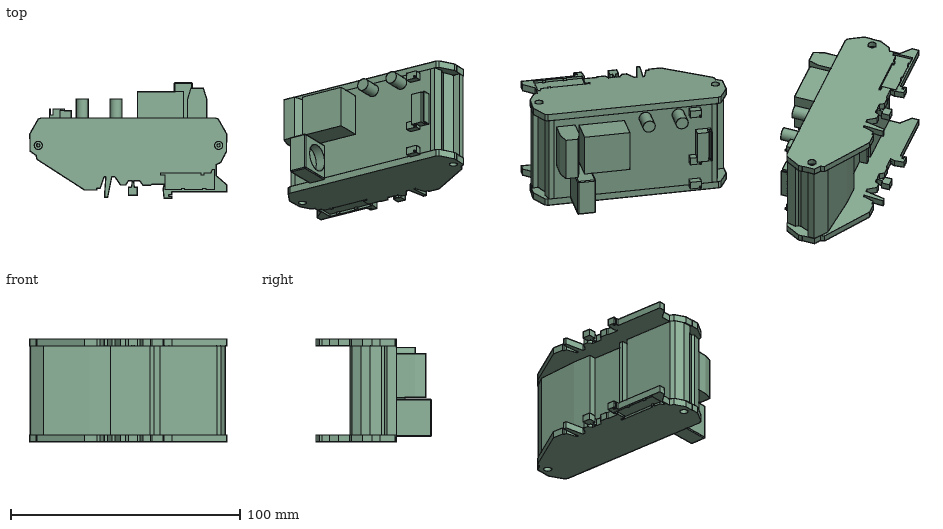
import cadquery as cq


total_width = 45.0
plate_thickness = 3.1
inner_half = total_width / 2 - plate_thickness

plate_left = -43.15
plate_right = 43.0
screw_x = 39.35
screw_y = -12.05
screw_head_diameter = 3.5
screw_head_depth = 2.6
screw_diameter = 1.4
pocket_depth = 1.0

plate_outline = [
    (-38.15, 0), (-39.4, -0.6), (plate_left, -7.15), (plate_left, -8.9), (-43.1, -9.1), (-43.1, -14.55),
    (-40.4, -16.4), (-40.0, -18.2), (-19.1, -31.6), (-13.8, -31.6), (-13.8, -30.8),
    (-12.3, -30.8),
    (-10.6, -25.75), (-9.9, -25.75), (-10.4, -32.9), (-10.4, -34.8), (-9.0, -34.8), (-7.2, -25.75),
    (-5.9, -25.75),
    (-3.45, -29.45), (-1.2, -29.45), (0, -27.6), (1.6, -27.6), (1.3, -30.3), (0, -30.3),
    (0, -33.9), (3.9, -33.9), (3.9, -30.3), (2.6, -30.3), (2.3, -27.6), (5.0, -27.6),
    (6.3, -29.5), (9.7, -29.5), (10.25, -29.0), (15.7, -29.0), (15.1, -30.9), (15.5, -35.1),
    (18.95, -35.1), (18.95, -34.2), (17.65, -34.2), (17.65, -33.5), (18.95, -33.5), (18.95, -32.4),
    (plate_right, -32.4), (plate_right, -29.3), (38.3, -25.2), (38.3, -20.5),
    (40.2, -19.6), (42.8, -14.8), (42.8, -10.7), (plate_right, -10.7),
    (plate_right, -7.15), (39.3, -0.6), (38.0, 0),
]

pocket_top = -24.1
pocket_bottom = -31.35
pocket_outline = [
    (13.95, pocket_top), (13.95, -24.9), (16.0, -24.9), (16.0, pocket_bottom),
    (23.1, pocket_bottom), (23.1, -30.8), (24.55, -30.8), (24.55, pocket_bottom),
    (32.4, pocket_bottom), (32.4, -30.8), (33.8, -30.8), (33.8, pocket_bottom),
    (37.6, pocket_bottom), (37.6, -22.6), (36.6, -22.6), (36.0, pocket_top),
    (32.9, pocket_top), (32.9, -24.9), (31.6, -24.9), (31.6, pocket_top),
]

tray_floor = -20.3
tray_channel_floor = -16.9
tray_outline = [
    (-37.5, 0), (-38.5, -4.1), (-37.7, -5.2), (-37.7, -6.5), (-39.9, -11.45), (-42.9, -11.45), (-42.9, -14.4),
    (-41.9, -15.3), (-37.1, -18.7), (-16.9, tray_floor), (-7.8, tray_floor),
    (-7.8, tray_channel_floor), (9.3, tray_channel_floor), (9.3, tray_floor), (11.1, tray_floor),
    (11.1, tray_channel_floor), (13.7, tray_channel_floor), (13.7, tray_floor),
    (38.6, tray_floor), (40.5, -19.4), (42.3, -15.5), (42.3, -11.45), (39.9, -11.45),
    (37.7, -6.5), (37.7, -5.2), (38.5, -4.1), (37.5, 0),
]

board_length = 70.6
board_thickness = 1.6

post_diameter = 5.4
post_height = 8.3
post_z = 16.0
post_positions = [-20.15, -5.4]

switch_left = -34.5
switch_right = -27.9
switch_height = 3.9
switch_z_min = -6.55
switch_z_max = 7.7
slot_left = -33.9
slot_right = -33.0
slot_floor = 1.3

chip_left = -29.9
chip_right = -24.9
chip_height = 3.1
chip_width = 3.3
chip_z_min_positions = [-19.9, -7.9, 15.4]
dot_diameter = 0.8
dot_height = 0.7
dot_inset = 0.5

relay_left = 3.9
relay_right = 24.1
relay_height = 11.4
relay_z_min = -2.5
relay_z_max = 15.8

terminal_left = 25.8
terminal_right = 34.2
terminal_top_left = 27.3
terminal_top_right = 32.7
terminal_height = 12.9
terminal_shoulder = 8.3
terminal_z_min = -3.0
terminal_z_max = 16.0

socket_left = 19.9
socket_right = 28.0
socket_height = 15.4
socket_z_min = -20.15
socket_z_max = -3.9
socket_chamfer = 0.4
socket_bore_diameter = 11.9
socket_bore_y = 6.0
socket_bore_depth = 4.3


def block(x_min, x_max, y_min, y_max, z_min, z_max):
    """Rectangular block between the given limits."""
    size = (x_max - x_min, y_max - y_min, z_max - z_min)
    return cq.Workplane("XY").box(*size, centered=False).translate((x_min, y_min, z_min))


def prism(outline, z_min, z_max):
    """Outline in X and Y extruded from z_min to z_max."""
    return cq.Workplane("XY").workplane(offset=z_min).polyline(outline).close().extrude(z_max - z_min)


def upright_cylinder(diameter, x, z, y_min, height):
    """Cylinder standing along +Y from y_min."""
    base = cq.Plane(origin=(x, y_min, z), xDir=(0, 0, 1), normal=(0, 1, 0))
    return cq.Workplane(base).circle(diameter / 2).extrude(height)


def make_upper_plate():
    """Side plate on the +Z end, with counterbored screw holes and a shallow pocket on its outer face."""
    outer_face = total_width / 2
    plate = prism(plate_outline, inner_half, outer_face)
    plate = plate.cut(prism(pocket_outline, outer_face - pocket_depth, outer_face))
    return (
        plate.faces(">Z").workplane(origin=(0, 0, outer_face))
        .pushPoints([(-screw_x, screw_y), (screw_x, screw_y)])
        .cboreHole(screw_diameter, screw_head_diameter, screw_head_depth)
    )


def make_board_bed():
    """Space the bare circuit board takes up, flush with the top of the tray."""
    return block(-board_length / 2, board_length / 2, -board_thickness, 0, -inner_half, inner_half)


def make_tray():
    """Extruded tray with a recess for the circuit board."""
    return prism(tray_outline, -inner_half, inner_half).cut(make_board_bed())


def make_switch():
    """Low block with a narrow slot along Z."""
    body = block(switch_left, switch_right, 0, switch_height, switch_z_min, switch_z_max)
    slot = block(slot_left, slot_right, slot_floor, switch_height, switch_z_min, switch_z_max)
    return body.cut(slot)


def make_chip(z_min):
    """Small block with a raised dot at one corner."""
    body = block(chip_left, chip_right, 0, chip_height, z_min, z_min + chip_width)
    dot = upright_cylinder(dot_diameter, chip_left + dot_inset, z_min + dot_inset, chip_height, dot_height)
    return body.union(dot)


def make_circuit_board():
    """Circuit board in one piece with its posts, slotted switch and chips."""
    board = make_board_bed().union(make_switch())
    for x in post_positions:
        board = board.union(upright_cylinder(post_diameter, x, post_z, 0, post_height))
    for z_min in chip_z_min_positions:
        board = board.union(make_chip(z_min))
    return board


def make_relay():
    """Plain rectangular block."""
    return block(relay_left, relay_right, 0, relay_height, relay_z_min, relay_z_max)


def make_terminal():
    """Terminal block tapering above its shoulders."""
    outline = [
        (terminal_left, 0), (terminal_left, terminal_shoulder), (terminal_top_left, terminal_height),
        (terminal_top_right, terminal_height), (terminal_right, terminal_shoulder), (terminal_right, 0),
    ]
    return prism(outline, terminal_z_min, terminal_z_max)


def make_socket():
    """Tall connector with chamfered edges and a round blind bore in its -X face."""
    body = block(socket_left, socket_right, 0, socket_height, socket_z_min, socket_z_max)
    body = body.edges("|Y or >Y").chamfer(socket_chamfer)
    bore_z = (socket_z_min + socket_z_max) / 2
    mouth = cq.Plane(origin=(socket_left, socket_bore_y, bore_z), xDir=(0, 1, 0), normal=(1, 0, 0))
    return body.cut(cq.Workplane(mouth).circle(socket_bore_diameter / 2).extrude(socket_bore_depth))


upper_plate = make_upper_plate()
plates = [upper_plate, upper_plate.mirror("XY")]
tray = make_tray()
circuit_board = make_circuit_board()
relay = make_relay()
terminal = make_terminal()
socket = make_socket()

result = cq.Compound.makeCompound([
    *[plate.val() for plate in plates],
    tray.val(),
    circuit_board.val(),
    relay.val(),
    terminal.val(),
    socket.val(),
])